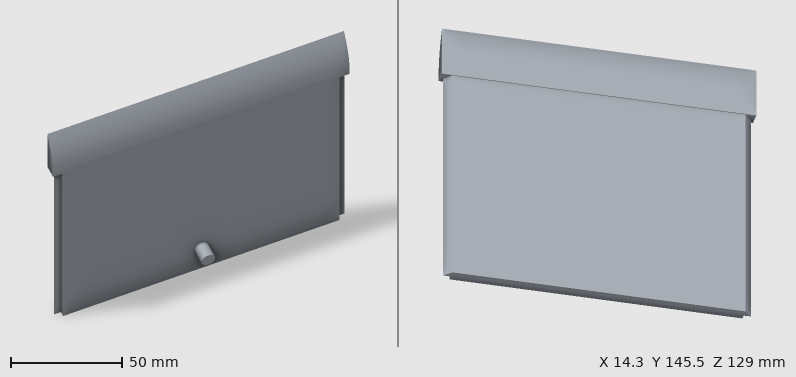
import cadquery as cq
import math

width = 145.5
height = 129.0
depth = 14.3

cap_height = 24.0
cap_straight_height = 2.0
peg_length = 7.9
cap_thickness = depth - peg_length

panel_front_inset = 0.5
panel_side_inset = 1.5
bevel = 3.5
backing_side_inset = 3.5

peg_diameter = 6.7
peg_center_height = 15.3

cap_bottom = height - cap_height


def make_cap():
    """Bar with a flat front and a back that curves forward to a sharp top edge."""
    arc_start_z = cap_bottom + cap_straight_height
    arc_rise = height - arc_start_z
    radius = (cap_thickness**2 + arc_rise**2) / (2 * cap_thickness)
    half_angle = math.asin(arc_rise / radius) / 2
    arc_middle = (
        cap_thickness - radius * (1 - math.cos(half_angle)),
        arc_start_z + radius * math.sin(half_angle),
    )
    return (
        cq.Workplane("XZ")
        .moveTo(0, cap_bottom)
        .lineTo(cap_thickness, cap_bottom)
        .lineTo(cap_thickness, arc_start_z)
        .threePointArc(arc_middle, (0, height))
        .close()
        .extrude(width / 2, both=True)
    )


def make_panel():
    """Front plate with beveled upright sides, backed by a narrower plate."""
    panel_width = width - 2 * panel_side_inset
    backing_width = panel_width - 2 * backing_side_inset
    backing_front = panel_front_inset + bevel
    front_plate = (
        cq.Workplane("XY")
        .moveTo(panel_front_inset, bevel - panel_width / 2)
        .lineTo(backing_front, -panel_width / 2)
        .lineTo(backing_front, panel_width / 2)
        .lineTo(panel_front_inset, panel_width / 2 - bevel)
        .close()
        .extrude(cap_bottom)
    )
    backing = (
        cq.Workplane("XY", origin=(backing_front, 0, 0))
        .box(cap_thickness - backing_front, backing_width, cap_bottom, centered=(False, True, False))
    )
    return front_plate.union(backing)


def make_peg():
    """Cylinder standing out from the back of the panel."""
    return (
        cq.Workplane("YZ", origin=(cap_thickness, 0, peg_center_height))
        .circle(peg_diameter / 2)
        .extrude(peg_length)
    )


result = make_cap().union(make_panel()).union(make_peg())